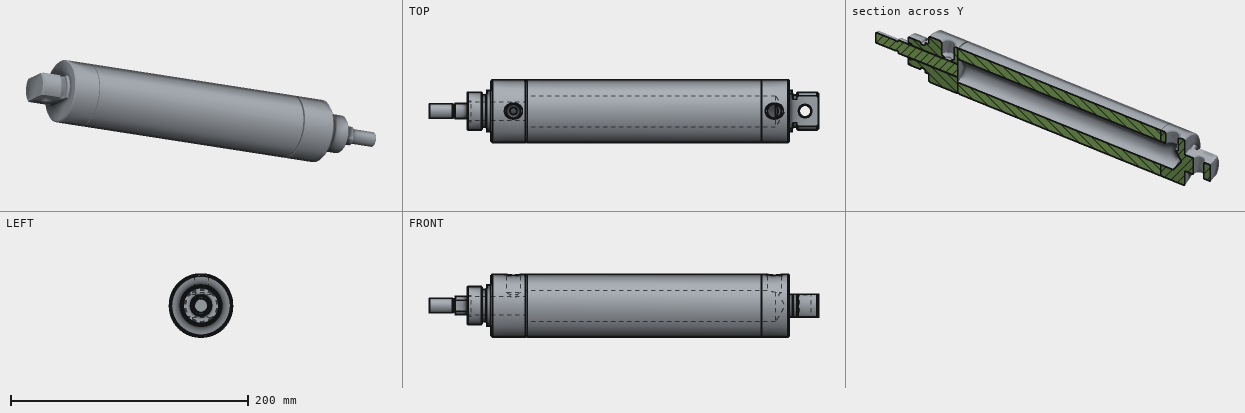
import cadquery as cq
import math

LENGTH = 328.5
BARREL_RADIUS = 26.5
DRILL_TIP_SLOPE = 1 / math.tan(math.radians(59))
OVERSHOOT = 3.3

THREAD_RADIUS = 6.2
THREAD_END = 19.5
TIP_CHAMFER = 0.3
RELIEF_SLOPE_LENGTH = 0.5
RELIEF_RADIUS = 5.5
ROD_START = 22.0
ROD_RADIUS = 8.0
FLATS_WIDTH = 12.8

BOSS_RADIUS = 16.0
SHOULDER_RADIUS = 17.5
UNDERCUT_WIDTH = 5.0
UNDERCUT_RADIUS = 13.8
UNDERCUT_CHAMFER = 1.0

NOSE_START = 32.0
NOSE_CHAMFER = 1.0
FRONT_SHOULDER_START = 48.5
HEAD_START = 52.0
HEAD_CHAMFER = 1.5

WIPER_RADIUS = 9.0
WIPER_LENGTH = 3.3

TUBE_START = 81.0
TUBE_END = 280.0
TUBE_CHAMFER = 1.5
BORE_RADIUS = 13.0

CAP_END = 303.5
CAP_FRONT_CHAMFER = 0.5
CAP_REAR_CHAMFER = 1.0
REAR_SHOULDER_END = 306.3
LUG_THICKNESS = 19.5
LUG_CHAMFER = 1.5
PIN_HOLE_X = 317.0
PIN_HOLE_RADIUS = 5.0
PIN_HOLE_CHAMFER = 0.5
BORE_END = 292.0

FRONT_PORT_X = 71.0
REAR_PORT_X = 291.2
PORT_RADIUS = 6.0
PORT_COUNTERSINK = 1.5
PORT_FLOOR_Z = 11.2
PASSAGE_RADIUS = 3.0


def revolve_about_x(outline):
    """Solid of revolution about X from (x, radius) points that start and end on the axis."""
    return cq.Workplane("XZ").polyline(outline).close().revolve(360, (0, 0, 0), (1, 0, 0))


def revolve_about_vertical(outline, x):
    """Solid of revolution about the vertical line at x, from (radius, z) points."""
    solid = cq.Workplane("XZ").polyline(outline).close().revolve(360, (0, 0, 0), (0, 1, 0))
    return solid.translate((x, 0, 0))


def cylinder_along_x(x_start, x_end, radius):
    return cq.Workplane("YZ", origin=(x_start, 0, 0)).circle(radius).extrude(x_end - x_start)


def undercut_outline(shoulder_x, toward_boss):
    """Points from the boss edge down into the undercut and up to the shoulder at shoulder_x.

    toward_boss is the X direction, -1 or 1, from the shoulder to the boss.
    """
    boss_x = shoulder_x + toward_boss * UNDERCUT_WIDTH
    return [
        (boss_x, BOSS_RADIUS),
        (boss_x - toward_boss * UNDERCUT_CHAMFER, BOSS_RADIUS - UNDERCUT_CHAMFER),
        (boss_x - toward_boss * UNDERCUT_CHAMFER, UNDERCUT_RADIUS),
        (shoulder_x + toward_boss * UNDERCUT_CHAMFER, UNDERCUT_RADIUS),
        (shoulder_x, UNDERCUT_RADIUS + UNDERCUT_CHAMFER),
        (shoulder_x, SHOULDER_RADIUS),
    ]


def port_cutter(x):
    """Countersunk port with a drill-point floor."""
    mouth_radius = PORT_RADIUS + PORT_COUNTERSINK
    outline = [
        (0, PORT_FLOOR_Z - PORT_RADIUS * DRILL_TIP_SLOPE),
        (PORT_RADIUS, PORT_FLOOR_Z),
        (PORT_RADIUS, BARREL_RADIUS - PORT_COUNTERSINK),
        (mouth_radius, BARREL_RADIUS),
        (mouth_radius, BARREL_RADIUS + OVERSHOOT),
        (0, BARREL_RADIUS + OVERSHOOT),
    ]
    return revolve_about_vertical(outline, x)


def pin_hole_cutter():
    """Vertical hole through the lug, chamfered at both faces."""
    face_z = LUG_THICKNESS / 2
    rim_radius = PIN_HOLE_RADIUS + PIN_HOLE_CHAMFER
    outline = [
        (0, -face_z),
        (rim_radius, -face_z),
        (PIN_HOLE_RADIUS, PIN_HOLE_CHAMFER - face_z),
        (PIN_HOLE_RADIUS, face_z - PIN_HOLE_CHAMFER),
        (rim_radius, face_z),
        (0, face_z),
    ]
    return revolve_about_vertical(outline, PIN_HOLE_X)


def make_rod():
    rod = revolve_about_x([
        (0, 0),
        (0, THREAD_RADIUS - TIP_CHAMFER),
        (TIP_CHAMFER, THREAD_RADIUS),
        (THREAD_END, THREAD_RADIUS),
        (THREAD_END + RELIEF_SLOPE_LENGTH, RELIEF_RADIUS),
        (ROD_START - RELIEF_SLOPE_LENGTH, RELIEF_RADIUS),
        (ROD_START, THREAD_RADIUS),
        (ROD_START, ROD_RADIUS),
        (TUBE_START, ROD_RADIUS),
        (TUBE_START, 0),
    ])
    flats_length = NOSE_START - ROD_START
    waste = cylinder_along_x(ROD_START, NOSE_START, ROD_RADIUS + OVERSHOOT)
    kept_core = cq.Workplane("XY", origin=(ROD_START, 0, 0)).box(
        flats_length, FLATS_WIDTH, 2 * (ROD_RADIUS + OVERSHOOT), centered=(False, True, True)
    )
    return rod.cut(waste.cut(kept_core))


def make_head():
    head = revolve_about_x([
        (NOSE_START, 0),
        (NOSE_START, BOSS_RADIUS - NOSE_CHAMFER),
        (NOSE_START + NOSE_CHAMFER, BOSS_RADIUS),
        *undercut_outline(FRONT_SHOULDER_START, -1),
        (HEAD_START, SHOULDER_RADIUS),
        (HEAD_START, BARREL_RADIUS - HEAD_CHAMFER),
        (HEAD_START + HEAD_CHAMFER, BARREL_RADIUS),
        (TUBE_START, BARREL_RADIUS),
        (TUBE_START, 0),
    ])
    air_passage = cq.Workplane("XY", origin=(FRONT_PORT_X, 0, 0)).circle(PASSAGE_RADIUS).extrude(PORT_FLOOR_Z)
    return (
        head.cut(port_cutter(FRONT_PORT_X))
        .cut(air_passage)
        .cut(cylinder_along_x(NOSE_START, TUBE_START, ROD_RADIUS))
        .cut(cylinder_along_x(NOSE_START, NOSE_START + WIPER_LENGTH, WIPER_RADIUS))
    )


def make_wiper():
    return (
        cq.Workplane("YZ", origin=(NOSE_START, 0, 0))
        .circle(WIPER_RADIUS)
        .circle(ROD_RADIUS)
        .extrude(WIPER_LENGTH)
    )


def make_tube():
    tube = cylinder_along_x(TUBE_START, TUBE_END, BARREL_RADIUS).faces("<X").chamfer(TUBE_CHAMFER)
    return tube.cut(cylinder_along_x(TUBE_START, TUBE_END, BORE_RADIUS))


def make_lug():
    lug = revolve_about_x([
        (LENGTH, 0),
        (LENGTH, BOSS_RADIUS - LUG_CHAMFER),
        (LENGTH - LUG_CHAMFER, BOSS_RADIUS),
        *undercut_outline(REAR_SHOULDER_END, 1),
        (CAP_END, SHOULDER_RADIUS),
        (CAP_END, 0),
    ])
    slab = cq.Workplane("XY", origin=(CAP_END, 0, 0)).box(
        LENGTH - CAP_END, 2 * BARREL_RADIUS, LUG_THICKNESS, centered=(False, True, True)
    )
    return lug.intersect(slab).cut(pin_hole_cutter())


def make_cap():
    cap = revolve_about_x([
        (TUBE_END, 0),
        (TUBE_END, BARREL_RADIUS - CAP_FRONT_CHAMFER),
        (TUBE_END + CAP_FRONT_CHAMFER, BARREL_RADIUS),
        (CAP_END - CAP_REAR_CHAMFER, BARREL_RADIUS),
        (CAP_END, BARREL_RADIUS - CAP_REAR_CHAMFER),
        (CAP_END, 0),
    ])
    bore = revolve_about_x([
        (TUBE_END, 0),
        (TUBE_END, BORE_RADIUS),
        (BORE_END, BORE_RADIUS),
        (BORE_END + BORE_RADIUS * DRILL_TIP_SLOPE, 0),
    ])
    return cap.union(make_lug()).cut(port_cutter(REAR_PORT_X)).cut(bore)


rod = make_rod()
head = make_head()
wiper = make_wiper()
tube = make_tube()
cap = make_cap()

result = cq.Compound.makeCompound([rod.val(), head.val(), wiper.val(), tube.val(), cap.val()])